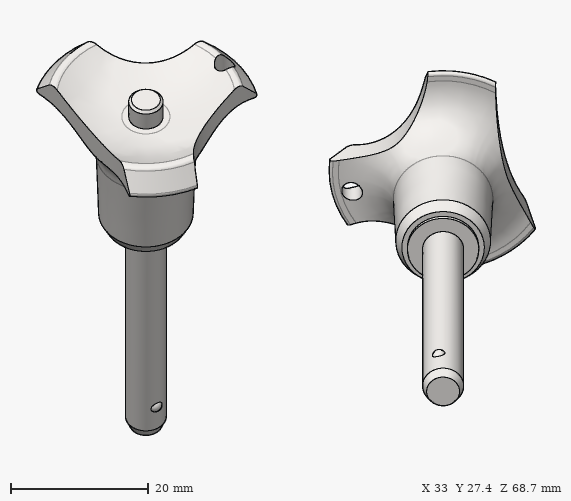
import math

import cadquery as cq


shank_radius = 3.0
shank_length = 42.0
tip_radius = 2.4
tip_length = 1.6
ball_radius = 1.0
ball_reach = 3.5
ball_height = -35.9

handle_height = 26.7
collar_radius = 5.2
collar_height = 0.6
chamfer_radius = 6.0
body_bottom_radius = 6.9
body_bottom_height = 2.5
body_top_radius = 7.25
body_top_height = 14.9
flare_radius = 8.0

rim_radius = 16.6
lip_radius = 0.5
cone_angle = math.radians(51)
crest_radius = 1.0

dish_bottom = 22.5
seat_radius = 3.5
button_radius = 2.5
button_top = 26.3
button_chamfer = 0.4

scallop_reach = 9.2
front_scallop_radius = 49.0
side_scallop_radius = 15.5
side_scallop_angle = math.radians(32.4)

lanyard_hole_radius = 1.5
lanyard_hole_offset = 13.6


def around(center, radius, angle):
    """Point of a circle, with the angle measured from the +Z direction towards the outside."""
    return (center[0] + radius * math.sin(angle), center[1] + radius * math.cos(angle))


def make_handle():
    """Revolved handle, before the arms are cut out."""
    flare_center = (body_top_radius + flare_radius, body_top_height)
    flare_middle = around(flare_center, flare_radius, math.radians(-45))
    flare_end = around(flare_center, flare_radius, 0)

    lip_center = (rim_radius - lip_radius, flare_end[1] + lip_radius)
    lip_start = around(lip_center, lip_radius, math.pi)
    lip_outermost = around(lip_center, lip_radius, math.pi / 2)
    cone_bottom = around(lip_center, lip_radius, cone_angle)

    crest_center_height = handle_height - crest_radius
    cone_top_height = crest_center_height + crest_radius * math.cos(cone_angle)
    cone_top_radius = cone_bottom[0] - (cone_top_height - cone_bottom[1]) / math.tan(cone_angle)
    cone_top = (cone_top_radius, cone_top_height)
    crest_center = (cone_top_radius - crest_radius * math.sin(cone_angle), crest_center_height)
    crest_top = around(crest_center, crest_radius, 0)

    drop = dish_bottom - crest_center_height
    dish_radius = (crest_center[0] ** 2 + drop ** 2 - crest_radius ** 2) / (2 * (crest_radius - drop))
    dish_center = (0, dish_bottom + dish_radius)
    dish_edge_angle = math.asin(crest_center[0] / (dish_radius + crest_radius))
    seat_edge_angle = math.asin(seat_radius / dish_radius)
    dish_edge = around(dish_center, dish_radius, math.pi - dish_edge_angle)
    dish_middle = around(dish_center, dish_radius, math.pi - (dish_edge_angle + seat_edge_angle) / 2)
    seat_edge = around(dish_center, dish_radius, math.pi - seat_edge_angle)

    return (
        cq.Workplane("XZ")
        .moveTo(0, 0)
        .lineTo(collar_radius, 0)
        .lineTo(collar_radius, collar_height)
        .lineTo(chamfer_radius, collar_height)
        .lineTo(body_bottom_radius, body_bottom_height)
        .lineTo(body_top_radius, body_top_height)
        .threePointArc(flare_middle, flare_end)
        .lineTo(*lip_start)
        .threePointArc(lip_outermost, cone_bottom)
        .lineTo(*cone_top)
        .threePointArc(crest_top, dish_edge)
        .threePointArc(dish_middle, seat_edge)
        .lineTo(0, seat_edge[1])
        .close()
        .revolve(360, (0, 0), (0, 1))
    )


def make_scallop(direction, radius):
    """Upright cylinder that cuts away the rim between two arms."""
    distance = scallop_reach + radius
    center = (distance * math.cos(direction), distance * math.sin(direction))
    return cq.Workplane("XY").center(*center).circle(radius).extrude(handle_height)


def make_lanyard_hole():
    return (
        cq.Workplane("XY")
        .center(0, lanyard_hole_offset)
        .circle(lanyard_hole_radius)
        .extrude(handle_height)
    )


def make_pin():
    """Shank with its tapered tip, continued upwards through the handle as the push button."""
    shank = (
        cq.Workplane("XZ")
        .moveTo(0, -shank_length)
        .lineTo(tip_radius, -shank_length)
        .lineTo(shank_radius, tip_length - shank_length)
        .lineTo(shank_radius, body_top_height)
        .lineTo(0, body_top_height)
        .close()
        .revolve(360, (0, 0), (0, 1))
    )
    button = (
        cq.Workplane("XY")
        .workplane(offset=body_top_height)
        .circle(button_radius)
        .extrude(button_top - body_top_height)
        .faces(">Z")
        .chamfer(button_chamfer)
    )
    return shank.union(button)


def make_ball(side):
    center = (side * (ball_reach - ball_radius), 0, ball_height)
    return cq.Workplane("XY").sphere(ball_radius).translate(center)


handle = make_handle()
scallops = (
    (-math.pi / 2, front_scallop_radius),
    (side_scallop_angle, side_scallop_radius),
    (math.pi - side_scallop_angle, side_scallop_radius),
)
for direction, radius in scallops:
    handle = handle.cut(make_scallop(direction, radius))
handle = handle.cut(make_lanyard_hole())

result = handle.union(make_pin())
for side in (-1, 1):
    result = result.union(make_ball(side))